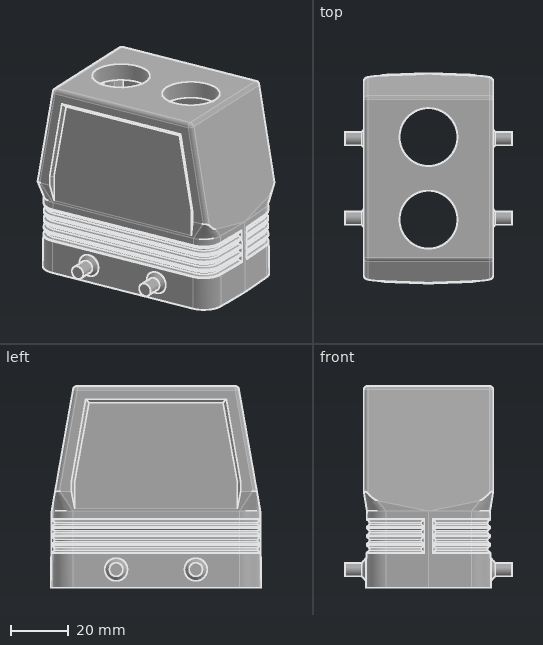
import cadquery as cq
import math

length = 73.0
height = 70.0
pin_span = 58.0

base_half_x = 21.7
base_half_y = length / 2
corner_radius = 7.15
bow_slope = 0.036

band_top = 26.65
band_inset = 0.3
band_half_x = base_half_x - band_inset
band_half_y = base_half_y - band_inset
band_radius = corner_radius - band_inset

hood_half_x = 22.5
end_lean = math.tan(math.radians(10))
hood_edge_radius = 1.45
flare_top = 33.4
flare_corner_radius = 2.2

groove_count = 4
groove_pitch = 3.0
groove_depth = 1.2
groove_floor_height = 0.8
crest_height = 0.6
crest_inset = 0.11
lowest_groove_center = 13.4
post_half_width = 1.25

recess_depth = 0.95
recess_bevel = 1.2
recess_top = 65.3
recess_knee = 36.8
recess_top_half = 24.4
recess_knee_half = 29.35

pin_radius = 2.3
pin_foot_radius = 3.95
pin_foot_length = 1.45
pin_root = 0.7
pin_half_spacing = 13.8
pin_height = 6.35

hole_diameter = 20.0
hole_half_spacing = 14.3
roof_thickness = 6.0
end_wall = 2.6
cavity_half_x = 19.0
cavity_corner_radius = 4.4
column_face_y = 25.5
column_side_x = 9.6
column_radius = 3.65


def outline(half_x, half_y, radius):
    """Rectangle with bowed ends and rounded corners."""
    side_y = half_y - bow_slope * half_x
    points = [
        (half_x, -side_y),
        (half_x, side_y),
        (0, half_y),
        (-half_x, side_y),
        (-half_x, -side_y),
        (0, -half_y),
        (half_x, -side_y),
    ]
    return cq.Sketch().polygon(points).vertices(">X or <X").fillet(radius)


def inset_outline(inset):
    return outline(base_half_x - inset, base_half_y - inset, corner_radius - inset)


def prism(sketch, bottom, top):
    return cq.Workplane("XY", origin=(0, 0, bottom)).placeSketch(sketch).extrude(top - bottom)


def loft_between(lower, upper, bottom, top):
    raised = upper.moved(cq.Location(cq.Vector(0, 0, top - bottom)))
    return cq.Workplane("XY", origin=(0, 0, bottom)).placeSketch(lower, raised).loft(ruled=True)


def slab(bottom, top):
    """Block larger than the housing in plan."""
    return prism(cq.Sketch().rect(2 * length, 2 * length), bottom, top)


def end_half_length(z):
    """Half length of the hood at height z."""
    return band_half_y - end_lean * (z - band_top)


def lower_body():
    return loft_between(inset_outline(0), inset_outline(band_inset), 0, band_top)


def end_posts():
    """Posts on the centre line of both ends, widening inwards at 45 degrees."""
    reach = 2 * groove_depth
    inner_half = post_half_width + reach
    profile = [
        (-post_half_width, base_half_y),
        (post_half_width, base_half_y),
        (inner_half, base_half_y - reach),
        (-inner_half, base_half_y - reach),
    ]
    post = cq.Workplane("XY").polyline(profile).close().extrude(band_top)
    return post.union(post.mirror("XZ"))


def groove_cutter(center):
    """Ring with a flat floor and sloping flanks, interrupted at the end posts."""
    bottom = center - groove_pitch / 2
    top = center + groove_pitch / 2
    flank_bottom = bottom + crest_height / 2
    flank_top = top - crest_height / 2
    floor_bottom = center - groove_floor_height / 2
    floor_top = center + groove_floor_height / 2
    wall_inset = band_inset * center / band_top
    crest = inset_outline(wall_inset + crest_inset)
    floor = inset_outline(groove_depth)
    core = (
        prism(crest, bottom, flank_bottom)
        .union(loft_between(crest, floor, flank_bottom, floor_bottom))
        .union(prism(floor, floor_bottom, floor_top))
        .union(loft_between(floor, crest, floor_top, flank_top))
        .union(prism(crest, flank_top, top))
    )
    return slab(bottom, top).cut(core).cut(end_posts())


def hood():
    """Tapered hood, trimmed at its foot so that it flares out of the band."""
    bottom_half = end_half_length(band_top)
    top_half = end_half_length(height)
    block = (
        cq.Workplane("YZ")
        .polyline([
            (-bottom_half, band_top),
            (bottom_half, band_top),
            (top_half, height),
            (-top_half, height),
        ])
        .close()
        .extrude(hood_half_x, both=True)
        .edges("not <Z")
        .fillet(hood_edge_radius)
    )
    flare = loft_between(
        outline(band_half_x, band_half_y, band_radius),
        outline(hood_half_x, band_half_y, flare_corner_radius),
        band_top,
        flare_top,
    )
    return block.intersect(flare.union(slab(flare_top, height)))


def recess_cutter():
    """Bevelled pocket for the +X side, open at its lower end through the flare."""
    def pocket_profile(inset):
        return [
            (-recess_knee_half + inset, band_top),
            (recess_knee_half - inset, band_top),
            (recess_knee_half - inset, recess_knee),
            (recess_top_half - inset, recess_top - inset),
            (-recess_top_half + inset, recess_top - inset),
            (-recess_knee_half + inset, recess_knee),
        ]

    return (
        cq.Workplane("YZ", origin=(hood_half_x - recess_depth, 0, 0))
        .polyline(pocket_profile(recess_bevel))
        .close()
        .workplane(offset=recess_depth)
        .polyline(pocket_profile(0))
        .close()
        .loft(ruled=True)
    )


def pin():
    """Pin on the +X side, turned about its own axis."""
    foot_end = base_half_x + pin_foot_length
    profile = [
        (base_half_x - pin_root, 0),
        (base_half_x - pin_root, pin_foot_radius),
        (base_half_x, pin_foot_radius),
        (foot_end, pin_radius),
        (pin_span / 2, pin_radius),
        (pin_span / 2, 0),
    ]
    turned = cq.Workplane("XY").polyline(profile).close().revolve(360, (0, 0, 0), (1, 0, 0))
    return turned.translate((0, 0, pin_height))


def cavity():
    """Open-bottomed hollow, with a rounded column in each corner of the hood."""
    roof = height - roof_thickness
    opening = prism(
        outline(cavity_half_x, band_half_y - end_wall, cavity_corner_radius), 0, band_top
    )
    bottom_half = end_half_length(band_top) - end_wall
    roof_half = end_half_length(roof) - end_wall
    upper = (
        cq.Workplane("YZ")
        .polyline([
            (-bottom_half, band_top),
            (bottom_half, band_top),
            (roof_half, roof),
            (-roof_half, roof),
        ])
        .close()
        .extrude(cavity_half_x, both=True)
    )
    column = (
        cq.Workplane("XY", origin=(column_side_x, column_face_y, band_top))
        .rect(base_half_x - column_side_x, base_half_y - column_face_y, centered=False)
        .extrude(height - band_top)
        .edges("|Z and <X and <Y")
        .fillet(column_radius)
    )
    columns = column.union(column.mirror("YZ"))
    columns = columns.union(columns.mirror("XZ"))
    return opening.union(upper.cut(columns))


body = lower_body()
for index in range(groove_count):
    body = body.cut(groove_cutter(lowest_groove_center + index * groove_pitch))

body = body.union(hood())
recess = recess_cutter()
body = body.cut(recess).cut(recess.mirror("YZ"))

for y in (-pin_half_spacing, pin_half_spacing):
    side_pin = pin().translate((0, y, 0))
    body = body.union(side_pin).union(side_pin.mirror("YZ"))

entry_holes = (
    cq.Workplane("XY", origin=(0, 0, band_top))
    .pushPoints([(0, -hole_half_spacing), (0, hole_half_spacing)])
    .circle(hole_diameter / 2)
    .extrude(height - band_top)
)
result = body.cut(cavity()).cut(entry_holes)